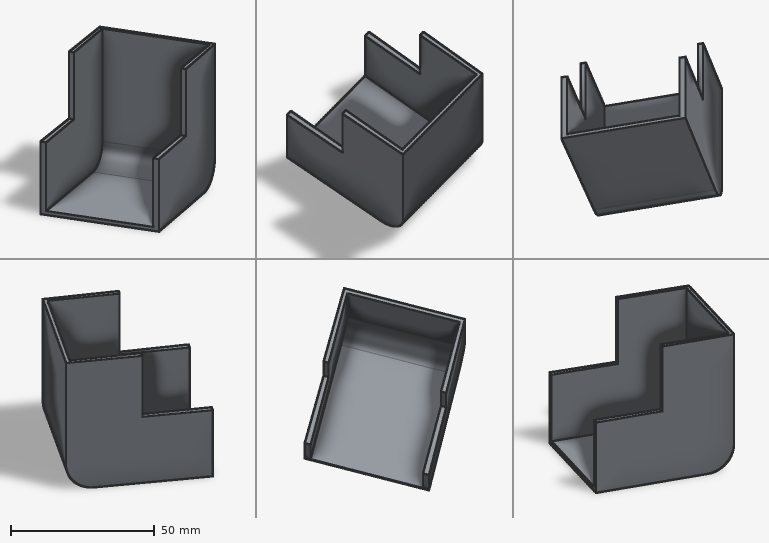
import cadquery as cq

length = 52.0
front_width = 44.9
inner_width = 40.55
wall = 1.5
arm_depth = 27.1
corner_radius = 10.0

back_width = inner_width + 2 * wall
front_y = -length / 2
back_y = length / 2
step_y = back_y - arm_depth


def tapered_block():
    """Full-height block, narrower at the back than at the front."""
    plan = [
        (-front_width / 2, front_y),
        (front_width / 2, front_y),
        (back_width / 2, back_y),
        (-back_width / 2, back_y),
    ]
    return cq.Workplane("XY").polyline(plan).close().extrude(length)


def elbow_prism(width):
    """L-shaped side outline with a rounded lower back corner, extruded across X."""
    outline = [
        (front_y, 0),
        (back_y, 0),
        (back_y, length),
        (step_y, length),
        (step_y, arm_depth),
        (front_y, arm_depth),
    ]
    prism = cq.Workplane("YZ").polyline(outline).close().extrude(width / 2, both=True)
    return prism.edges("|X and >Y and <Z").fillet(corner_radius)


def channel():
    """Inner channel, open at the front and top, concentric with the rounded corner."""
    block = cq.Workplane("XY").box(inner_width, length, length, centered=(True, True, False))
    rounded = block.edges("|X and >Y and <Z").fillet(corner_radius - wall)
    return rounded.translate((0, -wall, wall))


result = tapered_block().intersect(elbow_prism(front_width)).cut(channel())